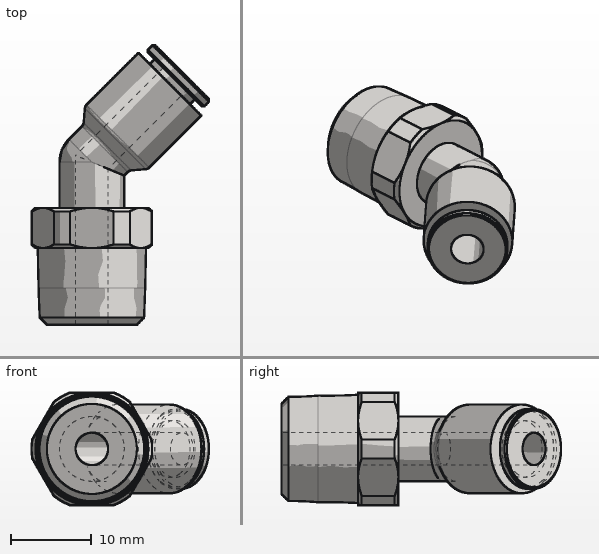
import cadquery as cq
import math

thread_end_radius = 6.5
thread_gauge_radius = 6.63
thread_root_radius = 6.73
thread_lead_height = 0.9
thread_lead_depth = 0.9
thread_gauge_height = 4.55
hex_base = 9.5
hex_height = 5.0
hex_flats = 14.0
hex_corner_radius = 7.5
hex_chamfer_height = 0.45
stem_radius = 4.03
elbow_height = 20.15
bore_radius = 2.0

bend_angle = 45
neck_length = 2.55
body_start = 4.3
shoulder_fillet = 0.7
body_radius = 5.5
body_end = 13.67
sleeve_radius = 3.55
flange_start = 14.55
flange_end = 15.8
flange_radius = 4.95
flange_chamfer = 0.2


def turned(points):
    """Revolve a (radius, height) outline about the Y axis."""
    return cq.Workplane("XY").polyline(points).close().revolve(360, (0, 0, 0), (0, 1, 0))


def bar(radius, length):
    return turned([(0, 0), (radius, 0), (radius, length), (0, length)])


def onto_angled_leg(shape):
    """Move a shape built along +Y from the origin onto the angled leg."""
    return shape.rotate((0, 0, 0), (0, 0, 1), -bend_angle).translate((0, elbow_height, 0))


def threaded_end():
    """Tapered thread envelope with a lead-in chamfer."""
    return turned([
        (0, 0),
        (thread_end_radius - thread_lead_depth, 0),
        (thread_end_radius, thread_lead_height),
        (thread_gauge_radius, thread_gauge_height),
        (thread_root_radius, hex_base),
        (0, hex_base),
    ])


def hex_nut():
    """Hexagon with flats facing Z and its corners turned round and chamfered."""
    hex_top = hex_base + hex_height
    flat_radius = hex_flats / 2
    corner_diameter = hex_flats / math.cos(math.radians(30))
    prism = (
        cq.Workplane("XZ", origin=(0, hex_base, 0))
        .polygon(6, corner_diameter)
        .extrude(-hex_height)
    )
    envelope = turned([
        (0, hex_base),
        (flat_radius, hex_base),
        (hex_corner_radius, hex_base + hex_chamfer_height),
        (hex_corner_radius, hex_top - hex_chamfer_height),
        (flat_radius, hex_top),
        (0, hex_top),
    ])
    return prism.intersect(envelope)


def bend_corner(radius):
    """Spherical wedge filling the outside of the bend between the ends of the two legs."""
    return (
        cq.Workplane("XZ")
        .moveTo(0, -radius)
        .threePointArc((-radius, 0), (0, radius))
        .close()
        .revolve(bend_angle, (0, 0, 0), (0, -1, 0))
        .translate((0, elbow_height, 0))
    )


def tube_socket():
    """Neck, flared body, release sleeve and its flange on the angled leg."""
    socket = turned([
        (0, 0),
        (stem_radius, 0),
        (stem_radius, neck_length),
        (body_radius, body_start),
        (body_radius, body_end),
        (sleeve_radius, body_end),
        (sleeve_radius, flange_start),
        (flange_radius - flange_chamfer, flange_start),
        (flange_radius, flange_start + flange_chamfer),
        (flange_radius, flange_end - flange_chamfer),
        (flange_radius - flange_chamfer, flange_end),
        (0, flange_end),
    ])
    reach = 2 * body_radius
    shoulder_edges = cq.selectors.BoxSelector(
        (-reach, neck_length - shoulder_fillet, -reach),
        (reach, body_start + shoulder_fillet, reach),
    )
    round_edges = socket.edges("%CIRCLE").edges(shoulder_edges)
    return onto_angled_leg(round_edges.fillet(shoulder_fillet))


def bore():
    """Passage of one diameter through both legs, meeting along a sharp mitre."""
    straight = bar(bore_radius, elbow_height)
    angled = onto_angled_leg(bar(bore_radius, flange_end))
    past_bend = bar(bore_radius, elbow_height + 2 * bore_radius)
    before_bend = onto_angled_leg(
        bar(bore_radius, flange_end + 2 * bore_radius).translate((0, -2 * bore_radius, 0))
    )
    corner = past_bend.intersect(before_bend)
    return straight.union(angled).union(corner)


stem = bar(stem_radius, elbow_height)
legs = stem.union(tube_socket()).union(bend_corner(stem_radius))
result = legs.union(hex_nut()).union(threaded_end()).cut(bore())